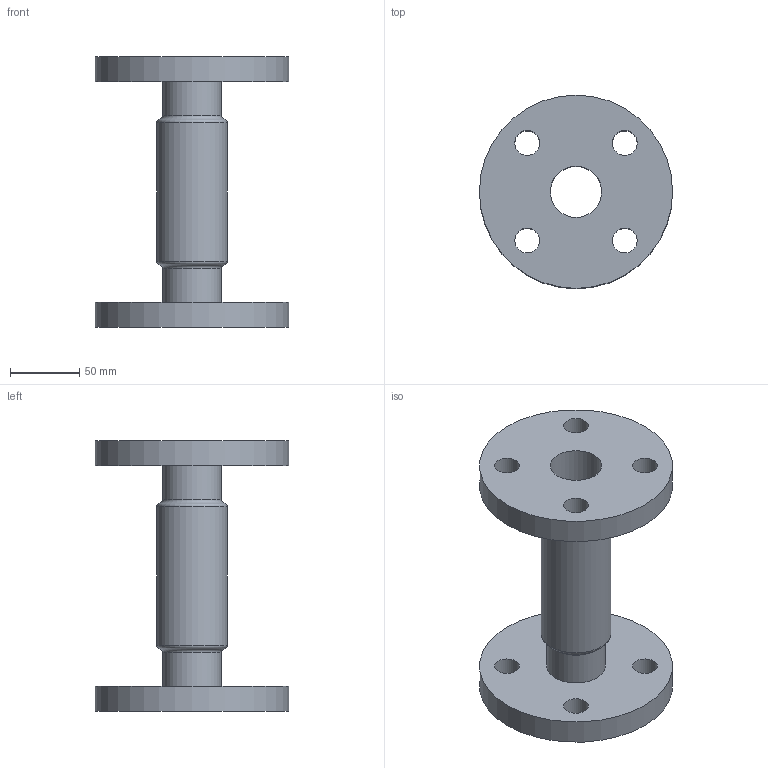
import cadquery as cq

total_length = 196.0

flange_diameter = 140.0
flange_thickness = 18.0
bolt_circle_diameter = 100.0
bolt_hole_diameter = 18.0
bolt_count = 4
first_bolt_angle = 45.0

bore_diameter = 37.2
tube_diameter = 42.4
body_diameter = 50.8
shoulder_length = 5.0
straight_body_length = 100.6

bore_radius = bore_diameter / 2
tube_radius = tube_diameter / 2
body_radius = body_diameter / 2
flange_radius = flange_diameter / 2
end_z = total_length / 2
flange_inner_z = end_z - flange_thickness
body_end_z = straight_body_length / 2
shoulder_end_z = body_end_z + shoulder_length
shoulder_mid_radius = (tube_radius + body_radius) / 2
shoulder_mid_z = body_end_z + shoulder_length / 2


def make_flanged_pipe():
    """Revolved pipe with both flanges; each shoulder is an S of two tangent arcs."""
    axis_start = (0, 0)
    axis_end = (0, 1)
    profile = (
        cq.Workplane("XZ")
        .moveTo(bore_radius, -end_z)
        .lineTo(flange_radius, -end_z)
        .lineTo(flange_radius, -flange_inner_z)
        .lineTo(tube_radius, -flange_inner_z)
        .lineTo(tube_radius, -shoulder_end_z)
        .tangentArcPoint((shoulder_mid_radius, -shoulder_mid_z), relative=False)
        .tangentArcPoint((body_radius, -body_end_z), relative=False)
        .lineTo(body_radius, body_end_z)
        .tangentArcPoint((shoulder_mid_radius, shoulder_mid_z), relative=False)
        .tangentArcPoint((tube_radius, shoulder_end_z), relative=False)
        .lineTo(tube_radius, flange_inner_z)
        .lineTo(flange_radius, flange_inner_z)
        .lineTo(flange_radius, end_z)
        .lineTo(bore_radius, end_z)
        .close()
    )
    return profile.revolve(360, axis_start, axis_end)


def make_bolt_holes():
    """Cutters along Z for the bolt holes of both flanges."""
    return (
        cq.Workplane("XY")
        .polarArray(bolt_circle_diameter / 2, first_bolt_angle, 360, bolt_count)
        .circle(bolt_hole_diameter / 2)
        .extrude(end_z, both=True)
    )


result = make_flanged_pipe().cut(make_bolt_holes())